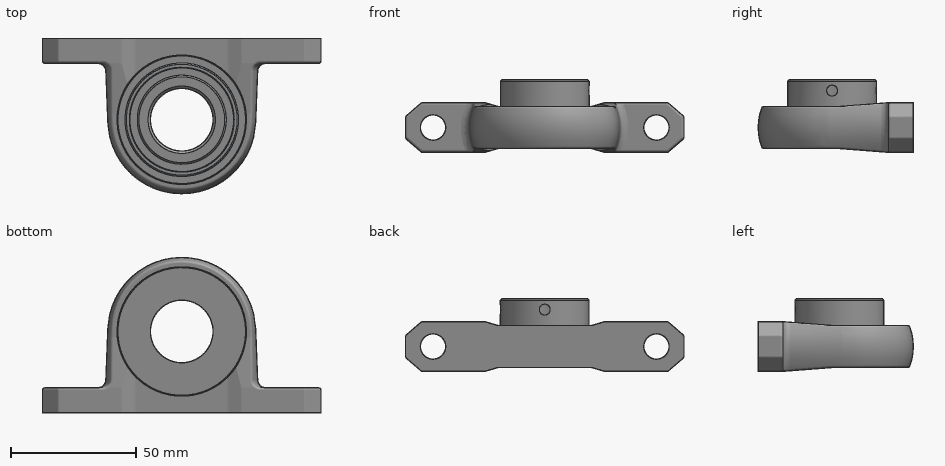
import cadquery as cq
import math


FOOT_LENGTH = 111.4
FOOT_HEIGHT = 19.9
FOOT_THICKNESS = 10.0
FOOT_CORNER_X = 6.5
FOOT_CORNER_Z = 5.6
FOOT_CORNER_RADIUS = 1.1
MOUNT_Y = 32.5
FOOT_FRONT_Y = MOUNT_Y - FOOT_THICKNESS
MID_Z = FOOT_HEIGHT / 2
BOLT_HOLE_DIA = 10.0
BOLT_SPACING = 89.3

RING_RADIUS = 29.6
RING_HEIGHT = 16.8
BULGE_RADIUS = 22.3
NECK_ANGLE = 2.3
NECK_ROOT_RADIUS = 3.0
NECK_ROOT_HALF = 33.4
SLOPE_END_Y = 2.3
WALL_DEPTH = 8.9
WALL_START_DEPTH = 5.0
EDGE_RADIUS = 1.0

TOLERANCE = 0.01
PICK_HALF = 1.1

CHANNEL_FLOOR_HALF = 18.6
CHANNEL_TOP_HALF = 24.0
CHANNEL_FLOOR_RADIUS = 3.9
CHANNEL_LIP_RADIUS = 2.2

SEAT_RADIUS = 25.5
SEAT_MOUTH_RADIUS = 51.8 / 2

BORE_RADIUS = 25.0 / 2
BORE_MOUTH_RADIUS = 13.5
OUTER_RACE_HEIGHT = 11.1
SHIELD_OUTER_RADIUS = 22.7
SHIELD_FLAT_RADIUS = 22.2
SHIELD_RISE = 0.6
GAP_OUTER_RADIUS = 42.0 / 2
GAP_INNER_RADIUS = 41.4 / 2
GAP_DEPTH = 1.1
SHIELD_STEP = 0.6
INNER_RING_RADIUS = 32.4 / 2
COLLAR_RADIUS = 35.6 / 2
COLLAR_BOTTOM_Z = 17.2
COLLAR_TOP_Z = 29.1
COLLAR_CHAMFER = 0.7
SET_SCREW_DIA = 4.3
SET_SCREW_Z = 24.7
SET_SCREW_ANGLES = (0, 90)
BORE_GROOVE_RADIUS = 13.0
BORE_GROOVE_Z = 20.5
BORE_GROOVE_WIDTH = 0.5


def make_foot():
    """Bar with four bevelled corners, all softened along the depth of the bar."""
    bar = (
        cq.Workplane("XZ", origin=(0, MOUNT_Y, MID_Z))
        .rect(FOOT_LENGTH, FOOT_HEIGHT)
        .extrude(FOOT_THICKNESS)
    )
    for x_side in (-1, 1):
        for z_side in (-1, 1):
            end = x_side * FOOT_LENGTH / 2
            face = z_side * FOOT_HEIGHT / 2
            bevel = (
                cq.Workplane("XZ", origin=(0, MOUNT_Y, MID_Z))
                .moveTo(end, face)
                .lineTo(end - x_side * FOOT_CORNER_X, face)
                .lineTo(end, face - z_side * FOOT_CORNER_Z)
                .close()
                .extrude(FOOT_THICKNESS)
            )
            bar = bar.cut(bevel)
    return bar.edges("|Y").fillet(FOOT_CORNER_RADIUS)


def make_core():
    """Filling inside the wall, from the ring centre back into the foot."""
    core_radius = RING_RADIUS - WALL_DEPTH / 2
    disc = cq.Workplane("XY").circle(core_radius).extrude(FOOT_HEIGHT)
    block = (
        cq.Workplane("XY")
        .rect(2 * core_radius, FOOT_FRONT_Y + WALL_START_DEPTH, centered=(True, False))
        .extrude(FOOT_HEIGHT)
    )
    return disc.union(block)


def make_wall():
    """Filled bulged wall that runs along one neck side, around the ring and back along the other."""
    angle = math.radians(NECK_ANGLE)
    tangent_x = RING_RADIUS * math.cos(angle)
    tangent_y = -RING_RADIUS * math.sin(angle)
    start_y = FOOT_FRONT_Y + WALL_START_DEPTH
    start_x = tangent_x + (start_y - tangent_y) * math.tan(angle)
    path = (
        cq.Workplane("XY", origin=(0, 0, MID_Z))
        .moveTo(-start_x, start_y)
        .lineTo(-tangent_x, tangent_y)
        .threePointArc((0, -RING_RADIUS), (tangent_x, tangent_y))
        .lineTo(start_x, start_y)
    )
    half = FOOT_HEIGHT / 2
    sag = BULGE_RADIUS - math.sqrt(BULGE_RADIUS**2 - half**2)
    profile_plane = cq.Plane(
        origin=(-start_x, start_y, MID_Z),
        xDir=(math.cos(angle), math.sin(angle), 0),
        normal=(math.sin(angle), -math.cos(angle), 0),
    )
    wall = (
        cq.Workplane(profile_plane)
        .moveTo(WALL_DEPTH, -half)
        .lineTo(sag, -half)
        .threePointArc((0, 0), (sag, half))
        .lineTo(WALL_DEPTH, half)
        .close()
        .sweep(path)
    )
    return wall.union(make_core())


def make_slope_envelope():
    """Side outline: full foot height at the back, tapering to the ring height."""
    return (
        cq.Workplane("YZ", origin=(-FOOT_LENGTH, 0, MID_Z))
        .moveTo(MOUNT_Y, FOOT_HEIGHT / 2)
        .lineTo(FOOT_FRONT_Y, FOOT_HEIGHT / 2)
        .lineTo(SLOPE_END_Y, RING_HEIGHT / 2)
        .lineTo(-2 * RING_RADIUS, RING_HEIGHT / 2)
        .lineTo(-2 * RING_RADIUS, -RING_HEIGHT / 2)
        .lineTo(SLOPE_END_Y, -RING_HEIGHT / 2)
        .lineTo(FOOT_FRONT_Y, -FOOT_HEIGHT / 2)
        .lineTo(MOUNT_Y, -FOOT_HEIGHT / 2)
        .close()
        .extrude(2 * FOOT_LENGTH)
    )


def make_channel(side):
    """Cutter for the channel on the top (side = 1) or on the underside (side = -1) of the foot.

    Each ramp meets the floor in a concave fillet and the face of the foot in a convex one.
    """
    floor = side * RING_HEIGHT / 2
    face = side * FOOT_HEIGHT / 2
    ramp_angle = math.atan2(abs(face - floor), CHANNEL_TOP_HALF - CHANNEL_FLOOR_HALF)
    floor_tangent = CHANNEL_FLOOR_RADIUS * math.tan(ramp_angle / 2)
    lip_tangent = CHANNEL_LIP_RADIUS * math.tan(ramp_angle / 2)
    floor_end = CHANNEL_FLOOR_HALF - floor_tangent
    ramp_start = (
        CHANNEL_FLOOR_HALF + floor_tangent * math.cos(ramp_angle),
        floor + side * floor_tangent * math.sin(ramp_angle),
    )
    ramp_end = (
        CHANNEL_TOP_HALF - lip_tangent * math.cos(ramp_angle),
        face - side * lip_tangent * math.sin(ramp_angle),
    )
    half_channel = (
        cq.Workplane("XZ", origin=(0, MOUNT_Y, MID_Z))
        .moveTo(0, floor)
        .lineTo(floor_end, floor)
        .tangentArcPoint(ramp_start, relative=False)
        .lineTo(*ramp_end)
        .tangentArcPoint((CHANNEL_TOP_HALF + lip_tangent, face), relative=False)
        .lineTo(0, face)
        .close()
        .extrude(2 * MOUNT_Y)
    )
    return half_channel.union(half_channel.mirror("YZ"))


def is_rounded(edge):
    """True for the outline edges of the top, bottom and front faces, which are all rounded."""
    middle = edge.Center()
    box = edge.BoundingBox()
    on_foot = box.ymax > FOOT_FRONT_Y + TOLERANCE
    crosses_body = box.xmin < 0 < box.xmax and box.ylen < TOLERANCE
    spans_height = abs(middle.z - MID_Z) < TOLERANCE and abs(middle.x) < FOOT_LENGTH / 2 - TOLERANCE
    return not (on_foot or crosses_body or spans_height)


def make_outline_body():
    """Foot, neck and ring as one body with rounded edges."""
    body = make_foot().union(make_wall())
    root_edges = cq.selectors.BoxSelector(
        (-NECK_ROOT_HALF, FOOT_FRONT_Y - TOLERANCE, MID_Z - PICK_HALF),
        (NECK_ROOT_HALF, FOOT_FRONT_Y + TOLERANCE, MID_Z + PICK_HALF),
    )
    body = body.edges(root_edges).fillet(NECK_ROOT_RADIUS)
    body = body.intersect(make_slope_envelope())
    return body.newObject(filter(is_rounded, body.edges().vals())).fillet(EDGE_RADIUS)


def make_bolt_holes():
    """Cutters for the two bolt holes through the foot."""
    return (
        cq.Workplane("XZ", origin=(0, MOUNT_Y, MID_Z))
        .pushPoints([(-BOLT_SPACING / 2, 0), (BOLT_SPACING / 2, 0)])
        .circle(BOLT_HOLE_DIA / 2)
        .extrude(FOOT_THICKNESS)
    )


def make_seat():
    """Cutter for the bearing bore: chamfered at the ring faces, straight above and below them."""
    half = RING_HEIGHT / 2
    chamfer = SEAT_MOUTH_RADIUS - SEAT_RADIUS
    return (
        cq.Workplane("XZ", origin=(0, 0, MID_Z))
        .moveTo(0, -FOOT_HEIGHT)
        .lineTo(SEAT_MOUTH_RADIUS, -FOOT_HEIGHT)
        .lineTo(SEAT_MOUTH_RADIUS, -half)
        .lineTo(SEAT_RADIUS, chamfer - half)
        .lineTo(SEAT_RADIUS, half - chamfer)
        .lineTo(SEAT_MOUTH_RADIUS, half)
        .lineTo(SEAT_MOUTH_RADIUS, FOOT_HEIGHT)
        .lineTo(0, FOOT_HEIGHT)
        .close()
        .revolve(360, (0, 0, 0), (0, 1, 0))
    )


def make_housing():
    """Pillow block: rounded body with channels, bearing seat and bolt holes."""
    body = make_outline_body()
    for side in (-1, 1):
        body = body.cut(make_channel(side))
    return body.cut(make_seat()).cut(make_bolt_holes())


def make_bearing():
    """Outer race, shield, inner ring and collar as one turned body, bored through."""
    race_top = MID_Z + OUTER_RACE_HEIGHT / 2
    race_bottom = MID_Z - OUTER_RACE_HEIGHT / 2
    shield_top = race_top + SHIELD_RISE
    bore_chamfer = BORE_MOUTH_RADIUS - BORE_RADIUS
    body = (
        cq.Workplane("XZ")
        .moveTo(BORE_RADIUS, race_bottom)
        .lineTo(SEAT_RADIUS, race_bottom)
        .lineTo(SEAT_RADIUS, race_top)
        .lineTo(SHIELD_OUTER_RADIUS, race_top)
        .lineTo(SHIELD_FLAT_RADIUS, shield_top)
        .lineTo(GAP_OUTER_RADIUS, shield_top)
        .lineTo(GAP_OUTER_RADIUS, shield_top - GAP_DEPTH)
        .lineTo(GAP_INNER_RADIUS, shield_top - GAP_DEPTH)
        .lineTo(GAP_INNER_RADIUS, shield_top - SHIELD_STEP)
        .lineTo(INNER_RING_RADIUS, shield_top - SHIELD_STEP)
        .lineTo(INNER_RING_RADIUS, COLLAR_BOTTOM_Z)
        .lineTo(COLLAR_RADIUS, COLLAR_BOTTOM_Z)
        .lineTo(COLLAR_RADIUS, COLLAR_TOP_Z - COLLAR_CHAMFER)
        .lineTo(COLLAR_RADIUS - COLLAR_CHAMFER, COLLAR_TOP_Z)
        .lineTo(BORE_MOUTH_RADIUS, COLLAR_TOP_Z)
        .lineTo(BORE_RADIUS, COLLAR_TOP_Z - bore_chamfer)
        .lineTo(BORE_RADIUS, BORE_GROOVE_Z + BORE_GROOVE_WIDTH)
        .lineTo(BORE_GROOVE_RADIUS, BORE_GROOVE_Z + BORE_GROOVE_WIDTH)
        .lineTo(BORE_GROOVE_RADIUS, BORE_GROOVE_Z)
        .lineTo(BORE_RADIUS, BORE_GROOVE_Z)
        .close()
        .revolve(360, (0, 0, 0), (0, 1, 0))
    )
    for angle in SET_SCREW_ANGLES:
        screw_hole = (
            cq.Workplane("YZ", origin=(0, 0, SET_SCREW_Z))
            .circle(SET_SCREW_DIA / 2)
            .extrude(2 * COLLAR_RADIUS)
            .rotate((0, 0, 0), (0, 0, 1), angle)
        )
        body = body.cut(screw_hole)
    return body


housing = make_housing()
bearing = make_bearing()
result = cq.Compound.makeCompound([housing.val(), bearing.val()])